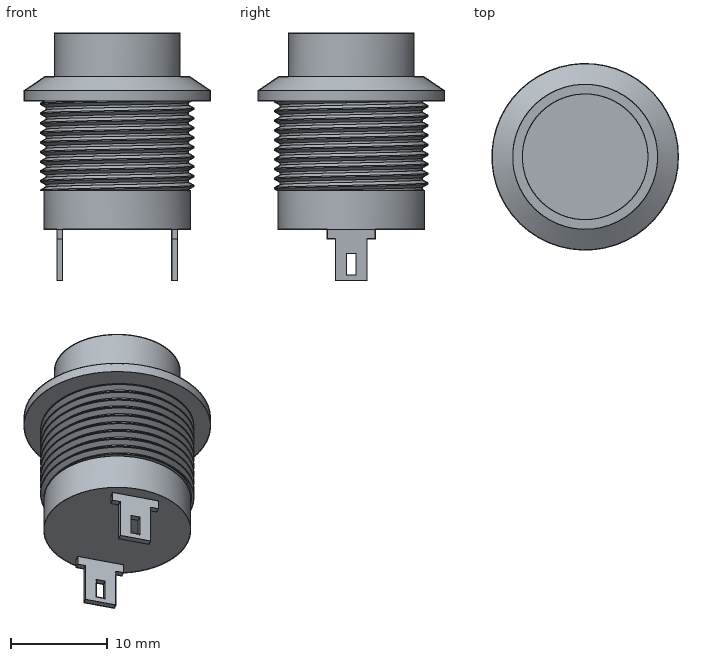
import cadquery as cq

terminal_length = 5.3
collar_height = 4.0
thread_length = 9.3
flange_height = 2.5
flange_rim_height = 1.05
total_height = 25.6
collar_bottom = terminal_length
thread_bottom = collar_bottom + collar_height
flange_bottom = thread_bottom + thread_length
flange_top = flange_bottom + flange_height

button_diameter = 13.0
flange_diameter = 19.3
flange_top_diameter = 15.0
collar_diameter = 15.2
thread_root_diameter = 14.75
thread_crest_diameter = 15.87

thread_pitch = 1.0
crest_width = thread_pitch / 8
root_width = thread_pitch / 4
ridge_overlap = 0.08

terminal_thickness = 0.61
terminal_offset = 5.95
shoulder_width = 4.97
shoulder_height = 1.0
blade_width = 3.3
slot_width = 0.95
slot_bottom = 0.6
slot_top = 2.8


def cylinder(diameter, bottom, height):
    return cq.Workplane("XY").workplane(offset=bottom).circle(diameter / 2).extrude(height)


def make_thread():
    """Right-handed screw whose crest meets the -X side at the bottom of the thread."""
    root_radius = thread_root_diameter / 2
    crest_radius = thread_crest_diameter / 2
    inner_radius = root_radius - ridge_overlap
    half_base = (thread_pitch - root_width) / 2
    half_crest = crest_width / 2
    flank_slope = (half_base - half_crest) / (crest_radius - root_radius)
    half_inner = half_base + ridge_overlap * flank_slope

    start = thread_bottom - thread_pitch
    sweep_length = thread_length + 2 * thread_pitch
    path = cq.Wire.makeHelix(thread_pitch, sweep_length, root_radius)
    ridge = (
        cq.Workplane("XZ")
        .polyline([
            (inner_radius, -half_inner),
            (crest_radius, -half_crest),
            (crest_radius, half_crest),
            (inner_radius, half_inner),
        ])
        .close()
        .sweep(cq.Workplane(path), isFrenet=True)
        .rotate((0, 0, 0), (0, 0, 1), 180)
        .translate((0, 0, start))
    )
    core = cylinder(thread_root_diameter, start - thread_pitch, sweep_length + 2 * thread_pitch)
    return core.union(ridge).intersect(cylinder(flange_diameter, thread_bottom, thread_length))


def make_flange():
    rim_radius = flange_diameter / 2
    return (
        cq.Workplane("XZ")
        .polyline([
            (0, flange_bottom),
            (rim_radius, flange_bottom),
            (rim_radius, flange_bottom + flange_rim_height),
            (flange_top_diameter / 2, flange_top),
            (0, flange_top),
        ])
        .close()
        .revolve(360, (0, 0, 0), (0, 1, 0))
    )


def make_housing():
    collar = cylinder(collar_diameter, collar_bottom, collar_height)
    return make_thread().union(collar).union(make_flange())


def make_button():
    return cylinder(button_diameter, flange_top, total_height - flange_top)


def make_terminal(x):
    def plate(width, bottom, top):
        return (
            cq.Workplane("XY")
            .box(terminal_thickness, width, top - bottom, centered=(True, True, False))
            .translate((x, 0, bottom))
        )

    shoulder_bottom = terminal_length - shoulder_height
    blade = plate(blade_width, 0, shoulder_bottom)
    shoulder = plate(shoulder_width, shoulder_bottom, terminal_length)
    slot = plate(slot_width, slot_bottom, slot_top)
    return blade.union(shoulder).cut(slot)


housing = make_housing()
button = make_button()
terminals = [make_terminal(x) for x in (-terminal_offset, terminal_offset)]

result = cq.Compound.makeCompound([
    *housing.solids().vals(),
    button.val(),
    *[terminal.solids().val() for terminal in terminals],
])